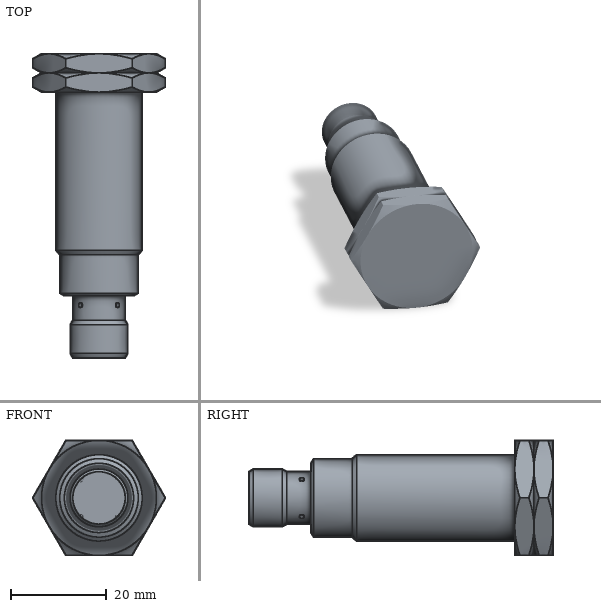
import cadquery as cq
import math

length = 63.5

across_flats = 24.0
across_corners = across_flats / math.cos(math.radians(30))
nut_thickness = 4.0
nut_count = 2
nut_chamfer_angle = 30
cone_clearance = 0.65

barrel_radius = 9.0
barrel_front = 22.5
collar_radius = 8.2
shoulder_chamfer_length = 0.95
collar_face_radius = 7.25
collar_front = 12.95
collar_chamfer_length = 0.6

neck_radius = 5.5
head_radius = 6.05
head_chamfer = 0.95
tip_radius = 5.45
head_length = 7.9

dimple_radius = 0.5
dimple_y = 11.05
dimple_angles = (45, 135, 225, 315)


def revolve_about_y(points):
    return cq.Workplane("XY").polyline(points).close().revolve(360, (0, 0, 0), (0, 1, 0))


def make_shaft():
    return revolve_about_y([
        (0, 0),
        (tip_radius, 0),
        (head_radius, head_chamfer),
        (head_radius, head_length - head_chamfer),
        (neck_radius, head_length),
        (neck_radius, collar_front),
        (collar_face_radius, collar_front),
        (collar_radius, collar_front + collar_chamfer_length),
        (collar_radius, barrel_front - shoulder_chamfer_length),
        (barrel_radius, barrel_front),
        (barrel_radius, length),
        (0, length),
    ])


def make_nut(front):
    """Hexagon with corners on X, both faces chamfered by a cone touching the flats."""
    back = front + nut_thickness
    hexagon = (
        cq.Workplane("XZ", origin=(0, front, 0))
        .polygon(6, across_corners)
        .extrude(-nut_thickness)
    )
    face_radius = across_flats / 2
    cone_radius = across_corners / 2 + cone_clearance
    cone_rise = (cone_radius - face_radius) * math.tan(math.radians(nut_chamfer_angle))
    double_cone = revolve_about_y([
        (0, front),
        (face_radius, front),
        (cone_radius, front + cone_rise),
        (cone_radius, back - cone_rise),
        (face_radius, back),
        (0, back),
    ])
    return hexagon.intersect(double_cone)


def make_dimple(angle):
    """Ball cutter centred on the neck surface at the given angle about the axis."""
    ball = cq.Workplane("XY").sphere(dimple_radius).translate((neck_radius, dimple_y, 0))
    return ball.rotate((0, 0, 0), (0, 1, 0), angle)


result = make_shaft()

for index in range(nut_count):
    result = result.union(make_nut(length - (index + 1) * nut_thickness))

for dimple_angle in dimple_angles:
    result = result.cut(make_dimple(dimple_angle))